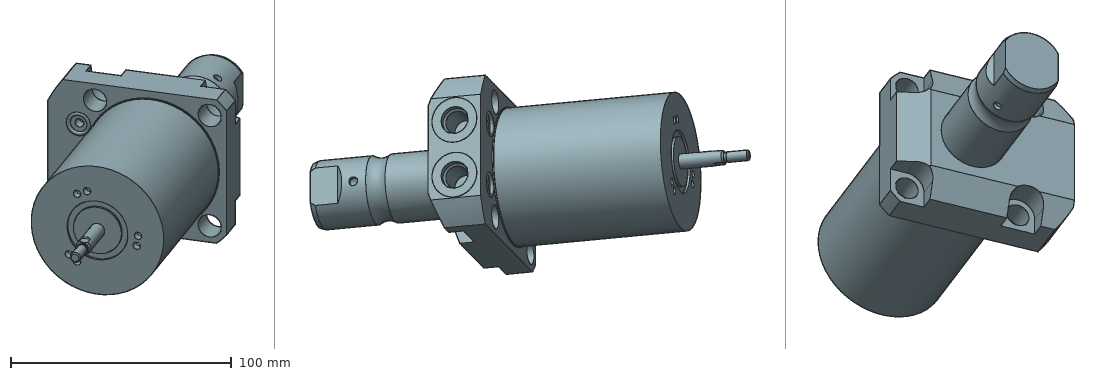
import cadquery as cq
import math


FLANGE_HALF = 35.5
FLANGE_PORT_SIDE = 50.0
FLANGE_THICKNESS = 24.9
PORT_CORNER_RADIUS = 55.5
PLAIN_CORNER_RADIUS = 46.9
BEVEL_RUN = 14.7
BEVEL_DROP = 5.5

BOLT_OFFSET = 27.3
BOLT_HOLE_DIAMETER = 11.0
BOLT_SEAT_RADIUS = 8.4
BOLT_SEAT_HEIGHT = 12.5

BARREL_RADIUS = 31.5
BARREL_END = -79.5
FOOT_RADIUS = 32.0
FOOT_HEIGHT = 0.6
RING_GROOVE_OUTER = 14.5
RING_GROOVE_INNER = 11.5
RING_GROOVE_DEPTH = 1.2
COVER_HOLE_CIRCLE = 19.4
COVER_HOLE_DIAMETER = 3.5
COVER_HOLE_DEPTH = 4.0
COVER_HOLE_PAIRS = 3
COVER_PAIR_ANGLE = 15

ROD_DIAMETER = 31.5
ROD_RADIUS = ROD_DIAMETER / 2
ROD_END = 92.0
ROD_TAPER_LENGTH = 2.5
ROD_TAPER_DEPTH = 0.8
ROD_GROOVE_TOP = 64.8
ROD_GROOVE_BOTTOM = 55.6
ROD_GROOVE_DEPTH = 1.5
FLAT_OFFSET = 13.0
FLAT_END = 78.9
SPANNER_HOLE_HEIGHT = 70.7
SPANNER_HOLE_DIAMETER = 4.0
SPANNER_HOLE_DEPTH = 2.0
SPANNER_HOLES = 3

SHAFT_RADIUS = 3.5
SHAFT_SHOULDER = -100.5
SHAFT_CHAMFER = 0.8
SHAFT_FLAT_OFFSET = 2.9
SHAFT_FLAT_LENGTH = 4.5
NECK_RADIUS = 2.2
NECK_END = -101.7
TIP_RADIUS = 2.5
OVERALL_LENGTH = 203.8
TIP_END = ROD_END - OVERALL_LENGTH
TIP_CHAMFER = 0.6

PORT_OFFSET = 13.0
PORT_HEIGHT = FLANGE_THICKNESS / 2
PORT_FACE_RADIUS = 10.5
PORT_FACE_DEPTH = 0.2
PORT_MOUTH_RADIUS = 6.3
PORT_MOUTH_DEPTH = 3.0
PORT_BORE_RADIUS = 5.3
PORT_BORE_DEPTH = 18.3

SEAL_X = -35.3
SEAL_OFFSET = 14.5
SEAL_WIRE_RADIUS = 0.92
SEAL_RING_RADIUS = 4.9
SEAL_SEAT_RADIUS = SEAL_RING_RADIUS + SEAL_WIRE_RADIUS
SEAL_SEAT_DEPTH = 1.5
PASSAGE_RADIUS = 2.0

DRILL_TIP_HALF_ANGLE = 59
BOTH_SIDES = (-1, 1)


def revolve_about_y(profile):
    """Turn a closed (radius, y) profile about the Y axis."""
    return profile.close().revolve(360, (0, 0, 0), (0, 1, 0))


def cylinder(radius, length, start, direction):
    return cq.Solid.makeCylinder(radius, length, cq.Vector(*start), cq.Vector(*direction))


def drilled_hole(diameter, depth, start, direction):
    """Blind hole with a conical drill tip below its full-diameter depth."""
    radius = diameter / 2
    axis = cq.Vector(*direction)
    tip_length = radius / math.tan(math.radians(DRILL_TIP_HALF_ANGLE))
    tip = cq.Solid.makeCone(radius, 0, tip_length, cq.Vector(*start) + axis * depth, axis)
    return cylinder(radius, depth, start, direction).fuse(tip)


def box_between(x_range, y_range, z_range):
    corner = cq.Vector(x_range[0], y_range[0], z_range[0])
    return cq.Solid.makeBox(
        x_range[1] - x_range[0],
        y_range[1] - y_range[0],
        z_range[1] - z_range[0],
        corner,
    )


def flange_blank():
    """Plate with its four corners rounded about the clamp axis."""
    port_corner_z = math.sqrt(PORT_CORNER_RADIUS**2 - FLANGE_PORT_SIDE**2)
    port_corner_x = -math.sqrt(PORT_CORNER_RADIUS**2 - FLANGE_HALF**2)
    plain_corner = math.sqrt(PLAIN_CORNER_RADIUS**2 - FLANGE_HALF**2)
    port_mid_angle = (
        math.atan2(port_corner_z, -FLANGE_PORT_SIDE) + math.atan2(FLANGE_HALF, port_corner_x)
    ) / 2
    port_mid_x = PORT_CORNER_RADIUS * math.cos(port_mid_angle)
    port_mid_z = PORT_CORNER_RADIUS * math.sin(port_mid_angle)
    plain_mid = PLAIN_CORNER_RADIUS / math.sqrt(2)

    outline = (
        cq.Workplane("XZ")
        .moveTo(-FLANGE_PORT_SIDE, -port_corner_z)
        .lineTo(-FLANGE_PORT_SIDE, port_corner_z)
        .threePointArc((port_mid_x, port_mid_z), (port_corner_x, FLANGE_HALF))
        .lineTo(plain_corner, FLANGE_HALF)
        .threePointArc((plain_mid, plain_mid), (FLANGE_HALF, plain_corner))
        .lineTo(FLANGE_HALF, -plain_corner)
        .threePointArc((plain_mid, -plain_mid), (plain_corner, -FLANGE_HALF))
        .lineTo(port_corner_x, -FLANGE_HALF)
        .threePointArc((port_mid_x, -port_mid_z), (-FLANGE_PORT_SIDE, -port_corner_z))
        .close()
    )
    return outline.extrude(-FLANGE_THICKNESS)


def bevel_flange(flange):
    """Slope the rod-side face down towards +X, +Z and -Z."""
    wedge_section = [
        (FLANGE_HALF - BEVEL_RUN, FLANGE_THICKNESS),
        (FLANGE_HALF, FLANGE_THICKNESS),
        (FLANGE_HALF, FLANGE_THICKNESS - BEVEL_DROP),
    ]
    wedge = cq.Workplane("XY").polyline(wedge_section).close().extrude(FLANGE_PORT_SIDE, both=True)
    for turn in (-90, 0, 90):
        flange = flange.cut(wedge.rotate((0, 0, 0), (0, 1, 0), turn))
    return flange


def cut_bolt_holes(flange):
    """Through holes whose rod-side seats run out through the flange edges."""
    seat_y = (BOLT_SEAT_HEIGHT, FLANGE_THICKNESS)
    seat_depth = FLANGE_THICKNESS - BOLT_SEAT_HEIGHT
    for side_z in BOTH_SIDES:
        center_z = side_z * BOLT_OFFSET
        inner_z = center_z - side_z * BOLT_SEAT_RADIUS
        outer_z = side_z * FLANGE_HALF
        for side_x in BOTH_SIDES:
            center_x = side_x * BOLT_OFFSET
            hole = cylinder(BOLT_HOLE_DIAMETER / 2, FLANGE_THICKNESS, (center_x, 0, center_z), (0, 1, 0))
            seat = cylinder(BOLT_SEAT_RADIUS, seat_depth, (center_x, BOLT_SEAT_HEIGHT, center_z), (0, 1, 0))
            z_exit = sorted((center_z, outer_z))
            x_exit = (center_x - BOLT_SEAT_RADIUS, center_x + BOLT_SEAT_RADIUS)
            flange = flange.cut(hole).cut(seat).cut(box_between(x_exit, seat_y, z_exit))
        corner_x = (BOLT_OFFSET, FLANGE_HALF)
        flange = flange.cut(box_between(corner_x, seat_y, sorted((inner_z, outer_z))))
    return flange


def cut_oil_ports(flange):
    """Stepped ports from -X, with a shallow sealing face around each."""
    cone_length = PORT_MOUTH_RADIUS - PORT_BORE_RADIUS
    inward = (1, 0, 0)
    for side in BOTH_SIDES:
        mouth = (-FLANGE_PORT_SIDE, PORT_HEIGHT, side * PORT_OFFSET)
        cone_start = cq.Vector(*mouth) + cq.Vector(PORT_MOUTH_DEPTH, 0, 0)
        cone = cq.Solid.makeCone(
            PORT_MOUTH_RADIUS, PORT_BORE_RADIUS, cone_length, cone_start, cq.Vector(*inward)
        )
        flange = (
            flange.cut(cylinder(PORT_FACE_RADIUS, PORT_FACE_DEPTH, mouth, inward))
            .cut(cylinder(PORT_MOUTH_RADIUS, PORT_MOUTH_DEPTH, mouth, inward))
            .cut(cone)
            .cut(cylinder(PORT_BORE_RADIUS, PORT_BORE_DEPTH, mouth, inward))
        )
    return flange


def cut_seal_seats(flange):
    """O-ring seats on the mounting face, each with a passage into its port."""
    for side in BOTH_SIDES:
        center = (SEAL_X, 0, side * SEAL_OFFSET)
        flange = flange.cut(cylinder(SEAL_SEAT_RADIUS, SEAL_SEAT_DEPTH, center, (0, 1, 0)))
        flange = flange.cut(cylinder(PASSAGE_RADIUS, PORT_HEIGHT, center, (0, 1, 0)))
    return flange


def make_flange():
    flange = bevel_flange(flange_blank())
    flange = cut_bolt_holes(flange)
    flange = cut_oil_ports(flange)
    return cut_seal_seats(flange)


def make_barrel():
    """Cylinder barrel with a foot, an annular groove and paired holes in its end."""
    barrel = revolve_about_y(
        cq.Workplane("XY")
        .moveTo(0, 0)
        .lineTo(FOOT_RADIUS, 0)
        .lineTo(FOOT_RADIUS, -FOOT_HEIGHT)
        .lineTo(BARREL_RADIUS, -FOOT_HEIGHT)
        .lineTo(BARREL_RADIUS, BARREL_END)
        .lineTo(0, BARREL_END)
    )
    groove_start = (0, BARREL_END, 0)
    groove_core = cylinder(RING_GROOVE_INNER, RING_GROOVE_DEPTH, groove_start, (0, 1, 0))
    groove = cylinder(RING_GROOVE_OUTER, RING_GROOVE_DEPTH, groove_start, (0, 1, 0)).cut(groove_core)
    barrel = barrel.cut(groove)

    for pair in range(COVER_HOLE_PAIRS):
        first_angle = pair * 360 / COVER_HOLE_PAIRS
        for angle in (first_angle, first_angle - COVER_PAIR_ANGLE):
            x = COVER_HOLE_CIRCLE * math.cos(math.radians(angle))
            z = COVER_HOLE_CIRCLE * math.sin(math.radians(angle))
            hole = drilled_hole(COVER_HOLE_DIAMETER, COVER_HOLE_DEPTH, (x, BARREL_END, z), (0, 1, 0))
            barrel = barrel.cut(hole)
    return barrel


def make_rod():
    """Clamping rod with a concave groove, two wrench flats and radial holes."""
    groove_middle = (ROD_GROOVE_TOP + ROD_GROOVE_BOTTOM) / 2
    rod = revolve_about_y(
        cq.Workplane("XY")
        .lineTo(ROD_RADIUS, 0)
        .lineTo(ROD_RADIUS, ROD_GROOVE_BOTTOM)
        .threePointArc((ROD_RADIUS - ROD_GROOVE_DEPTH, groove_middle), (ROD_RADIUS, ROD_GROOVE_TOP))
        .lineTo(ROD_RADIUS, ROD_END - ROD_TAPER_LENGTH)
        .lineTo(ROD_RADIUS - ROD_TAPER_DEPTH, ROD_END)
        .lineTo(0, ROD_END)
    )

    flat_depth = ROD_RADIUS - FLAT_OFFSET
    flat_section = [
        (FLAT_OFFSET, ROD_END),
        (FLAT_OFFSET, FLAT_END),
        (ROD_RADIUS, FLAT_END - flat_depth),
        (ROD_RADIUS, ROD_END),
    ]
    flat_cut = cq.Workplane("XY").polyline(flat_section).close().extrude(ROD_RADIUS, both=True)
    rod = rod.cut(flat_cut).cut(flat_cut.mirror("YZ"))

    for index in range(SPANNER_HOLES):
        angle = math.radians(180 + index * 360 / SPANNER_HOLES)
        outward_x = math.cos(angle)
        outward_z = math.sin(angle)
        start = (ROD_RADIUS * outward_x, SPANNER_HOLE_HEIGHT, ROD_RADIUS * outward_z)
        inward = (-outward_x, 0, -outward_z)
        rod = rod.cut(drilled_hole(SPANNER_HOLE_DIAMETER, SPANNER_HOLE_DEPTH, start, inward))
    return rod


def make_indicator_shaft():
    """Stepped shaft with two flats above its shoulder and a necked tip."""
    shaft = revolve_about_y(
        cq.Workplane("XY")
        .moveTo(0, BARREL_END)
        .lineTo(SHAFT_RADIUS, BARREL_END)
        .lineTo(SHAFT_RADIUS, SHAFT_SHOULDER + SHAFT_CHAMFER)
        .lineTo(SHAFT_RADIUS - SHAFT_CHAMFER, SHAFT_SHOULDER)
        .lineTo(NECK_RADIUS, SHAFT_SHOULDER)
        .lineTo(NECK_RADIUS, NECK_END)
        .lineTo(TIP_RADIUS, NECK_END)
        .lineTo(TIP_RADIUS, TIP_END + TIP_CHAMFER)
        .lineTo(TIP_RADIUS - TIP_CHAMFER, TIP_END)
        .lineTo(0, TIP_END)
    )
    flat_depth = SHAFT_RADIUS - SHAFT_FLAT_OFFSET
    flat_top = SHAFT_SHOULDER + SHAFT_FLAT_LENGTH
    flat_section = [
        (SHAFT_SHOULDER, SHAFT_FLAT_OFFSET),
        (flat_top, SHAFT_FLAT_OFFSET),
        (flat_top + flat_depth, SHAFT_RADIUS),
        (SHAFT_SHOULDER, SHAFT_RADIUS),
    ]
    flat_cut = cq.Workplane("YZ").polyline(flat_section).close().extrude(SHAFT_RADIUS, both=True)
    shaft = shaft.cut(flat_cut).cut(flat_cut.mirror("XY"))
    return shaft


def make_clamp():
    return make_flange().union(make_barrel()).union(make_rod()).union(make_indicator_shaft())


def make_seal_ring(side):
    """O-ring resting on the floor of its seat and standing proud of the mounting face."""
    center = cq.Vector(SEAL_X, SEAL_SEAT_DEPTH - SEAL_WIRE_RADIUS, side * SEAL_OFFSET)
    return cq.Solid.makeTorus(SEAL_RING_RADIUS, SEAL_WIRE_RADIUS, center, cq.Vector(0, 1, 0))


clamp = make_clamp()
seal_rings = [make_seal_ring(side) for side in BOTH_SIDES]

result = cq.Compound.makeCompound([clamp.solids().val(), *seal_rings])